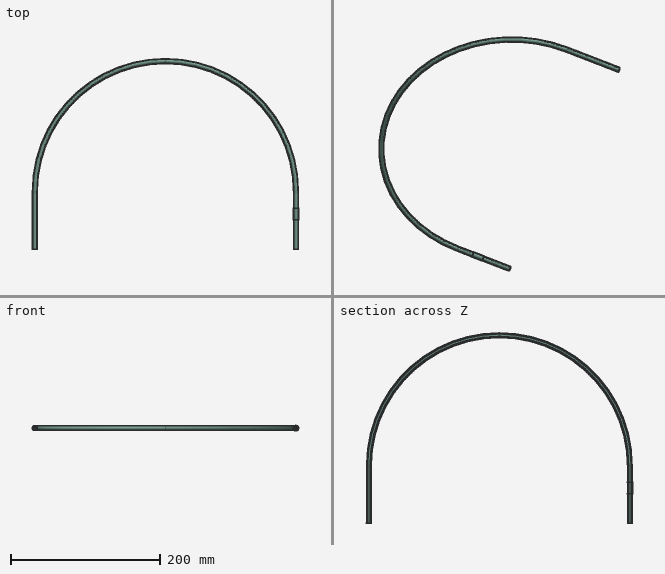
import cadquery as cq
import math

tube_diameter = 6.35
bore_diameter = 3.5
half_circle_length = 550.0
leg_length = 77.5
sleeve_diameter = 7.0
sleeve_length = 15.0
sleeve_start = 40.0

bend_radius = half_circle_length / math.pi


def make_ring_section(x, y, outer_diameter, inner_diameter):
    """Annular cross-section normal to Y, centred on a leg's axis."""
    section = cq.Workplane("XZ", origin=(x, y, 0))
    return section.circle(outer_diameter / 2).circle(inner_diameter / 2)


def make_centreline():
    """Left leg, two quarter turns meeting at the crown, then the right leg."""
    path = cq.Workplane("XY").moveTo(-bend_radius, -leg_length)
    path = path.lineTo(-bend_radius, 0)
    path = path.radiusArc((0, bend_radius), bend_radius)
    path = path.radiusArc((bend_radius, 0), bend_radius)
    return path.lineTo(bend_radius, -leg_length)


def make_tube():
    """Hollow tube following the U-shaped centreline, open at both ends."""
    section = make_ring_section(-bend_radius, -leg_length, tube_diameter, bore_diameter)
    return section.sweep(make_centreline())


def make_sleeve():
    """Thin collar fitted around the right leg."""
    start_y = sleeve_start - leg_length
    section = make_ring_section(bend_radius, start_y, sleeve_diameter, tube_diameter)
    return section.extrude(-sleeve_length)


result = make_tube().union(make_sleeve(), clean=False)